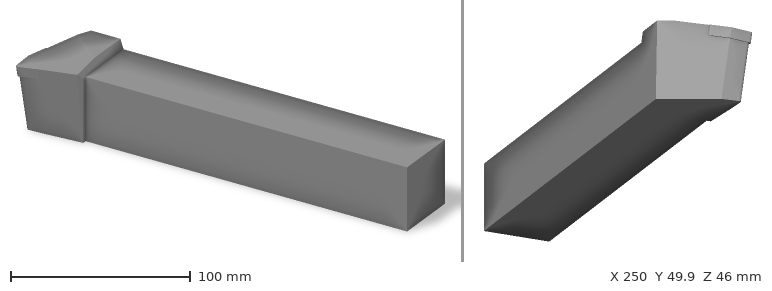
import cadquery as cq
import math

overall_length = 250.0
shank_size = 40.0

head_height = 46.0
head_end_x = 40.0
head_top_end_x = 38.0

slope_x = math.tan(math.radians(5.0))
slope_y = math.tan(math.radians(6.0))
insert_y = 0.3
insert_top_z = 42.3

inscribed_radius = 9.5
insert_thickness = 6.3
nose_radius = 1.5
pin_diameter = 8.0
corner_half_angle = 40.0
nose_direction = 225.0
corner_pitch = 120.0
corner_distance = inscribed_radius / math.sin(math.radians(corner_half_angle))
nose_trim = 0.28
insert_x = -corner_distance * math.cos(math.radians(nose_direction)) - nose_trim
mid_half_turn = corner_pitch / 2 - (90.0 - corner_half_angle)
mid_distance = inscribed_radius / math.cos(math.radians(mid_half_turn))

seat_inset = 0.8
seat_scale = (inscribed_radius - seat_inset) / inscribed_radius
front_wall_start = (3.3, -9.0)
front_wall_angle = 4.0
wall_reach = 75.0
wall_depth = 62.5

bevel_start_y = -3.0
bevel_length_x = 1.5
bevel_length_y = 4.0

sloped_plane = cq.Plane(
    origin=(insert_x, insert_y, insert_top_z),
    xDir=(1, 0, slope_x),
    normal=(-slope_x, -slope_y, 1),
)


def polar(distance, angle):
    """Point at a distance and an angle in degrees from the insert centre."""
    turn = math.radians(angle)
    return (distance * math.cos(turn), distance * math.sin(turn))


def move(start, distance, angle):
    """Point reached from start along a direction given in degrees."""
    step_x, step_y = polar(distance, angle)
    return (start[0] + step_x, start[1] + step_y)


def make_insert_blank():
    """Trigon prism with rounded corners, without its hole."""
    points = []
    for corner in range(3):
        angle = nose_direction + corner * corner_pitch
        points.append(polar(corner_distance, angle))
        points.append(polar(mid_distance, angle + corner_pitch / 2))
    blank = cq.Workplane(sloped_plane).polyline(points).close().extrude(-insert_thickness)
    for corner in range(3):
        corner_angle = nose_direction + corner * corner_pitch
        x, y = polar(corner_distance, corner_angle)
        corner_edge = sloped_plane.toWorldCoords((x, y, -insert_thickness / 2))
        blank = blank.edges(cq.selectors.NearestToPointSelector(corner_edge.toTuple())).fillet(nose_radius)
    return blank


def make_pin():
    """Locating pin, flush with the top of the insert."""
    return cq.Workplane(sloped_plane).circle(pin_diameter / 2).extrude(-insert_thickness)


def make_corner_cutter():
    """Upright wedge, twice the bevel's size, removed from the corner of the head."""
    return (
        cq.Workplane("XY")
        .moveTo(head_end_x, bevel_start_y)
        .lineTo(head_end_x, bevel_start_y - 2 * bevel_length_y)
        .lineTo(head_end_x - 2 * bevel_length_x, bevel_start_y - 2 * bevel_length_y)
        .close()
        .extrude(head_height)
    )


def make_head():
    """Sloped-wall prism trimmed to the upright profile of the head."""
    nose = polar(corner_distance * seat_scale, nose_direction)
    left_kink = polar(mid_distance * seat_scale, nose_direction - corner_pitch / 2)
    left_wall_angle = nose_direction - corner_pitch - corner_half_angle
    outline = [
        nose,
        front_wall_start,
        move(front_wall_start, wall_reach, front_wall_angle),
        move(left_kink, wall_reach, left_wall_angle),
        left_kink,
    ]
    walls = cq.Workplane(sloped_plane).polyline(outline).close().extrude(-wall_depth)
    nose_edge = sloped_plane.toWorldCoords((*nose, -wall_depth / 2))
    walls = walls.edges(cq.selectors.NearestToPointSelector(nose_edge.toTuple())).fillet(nose_radius)
    profile = [
        (-head_end_x, 0),
        (head_end_x, 0),
        (head_end_x, shank_size),
        (head_top_end_x, head_height),
        (-head_end_x, head_height),
    ]
    back_plane = cq.Workplane("XZ", origin=(0, shank_size, 0))
    envelope = back_plane.polyline(profile).close().extrude(2 * shank_size)
    return walls.intersect(envelope).cut(make_corner_cutter())


def make_shank():
    """Plain square bar behind the head."""
    length = overall_length - head_end_x
    return cq.Workplane("XY").box(length, shank_size, shank_size, centered=False).translate((head_end_x, 0, 0))


insert_blank = make_insert_blank()
pin = make_pin()
holder = make_head().union(make_shank()).cut(insert_blank).union(pin).solids()
insert = insert_blank.cut(pin).solids()

result = cq.Compound.makeCompound([holder.val(), insert.val()])